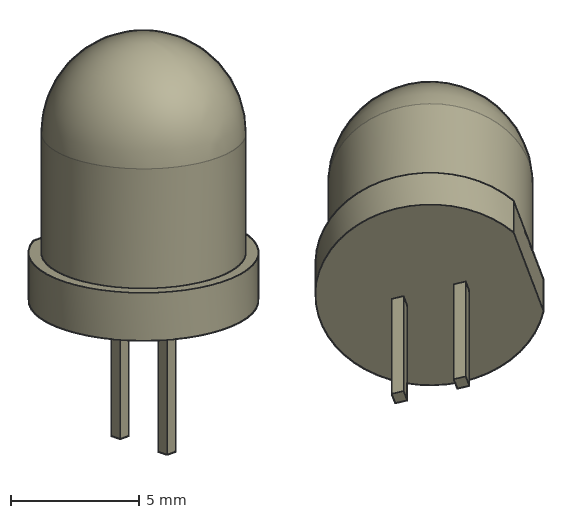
import cadquery as cq

total_height = 17.0
lens_diameter = 8.0
flange_diameter = 9.0
flange_height = 2.0
barrel_height = 5.0
lead_width = 0.5
lead_pitch = 2.53

lens_radius = lens_diameter / 2
flange_radius = flange_diameter / 2
barrel_top = flange_height + barrel_height
dome_top = barrel_top + lens_radius
lead_length = total_height - dome_top


def make_flange():
    """Round flange with a flat on -X, tangent to the lens barrel."""
    disc = cq.Workplane("XY").circle(flange_radius).extrude(flange_height)
    flat_cutter = (
        cq.Workplane("XY")
        .box(flange_radius, flange_diameter, flange_height, centered=(False, True, False))
        .translate((-lens_radius - flange_radius, 0, 0))
    )
    return disc.cut(flat_cutter)


def make_lens():
    """Barrel with a hemispherical dome, revolved about Z from the flange top."""
    dome_middle = lens_radius * 0.5 ** 0.5
    return (
        cq.Workplane("XZ")
        .moveTo(0, flange_height)
        .lineTo(lens_radius, flange_height)
        .lineTo(lens_radius, barrel_top)
        .threePointArc((dome_middle, barrel_top + dome_middle), (0, dome_top))
        .close()
        .revolve(360, (0, 0), (0, 1))
    )


def make_housing():
    """Flange and domed lens, moulded as one body with its base at Z = 0."""
    return make_flange().union(make_lens()).solids()


def make_lead(x):
    """Square lead hanging from the base of the housing."""
    return (
        cq.Workplane("XY")
        .center(x, 0)
        .rect(lead_width, lead_width)
        .extrude(-lead_length)
    )


housing = make_housing()
leads = [make_lead(side * lead_pitch / 2) for side in (-1, 1)]

result = cq.Compound.makeCompound([housing.val(), *[lead.val() for lead in leads]])